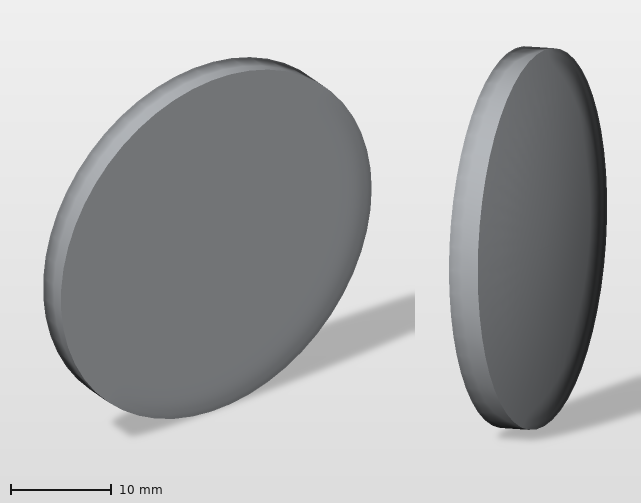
import cadquery as cq
import math

diameter = 38.05
total_thickness = 5.05
rim_thickness = 3.05

radius = diameter / 2
dome_height = total_thickness - rim_thickness
dome_radius = (radius**2 + dome_height**2) / (2 * dome_height)

half_angle = math.asin(radius / dome_radius) / 2
arc_middle_x = dome_radius * (1 - math.cos(half_angle))
arc_middle_y = dome_radius * math.sin(half_angle)

half_section = (
    cq.Workplane("XY")
    .threePointArc((arc_middle_x, arc_middle_y), (dome_height, radius))
    .lineTo(total_thickness, radius)
    .lineTo(total_thickness, 0)
    .close()
)
result = half_section.revolve(360, (0, 0, 0), (1, 0, 0))